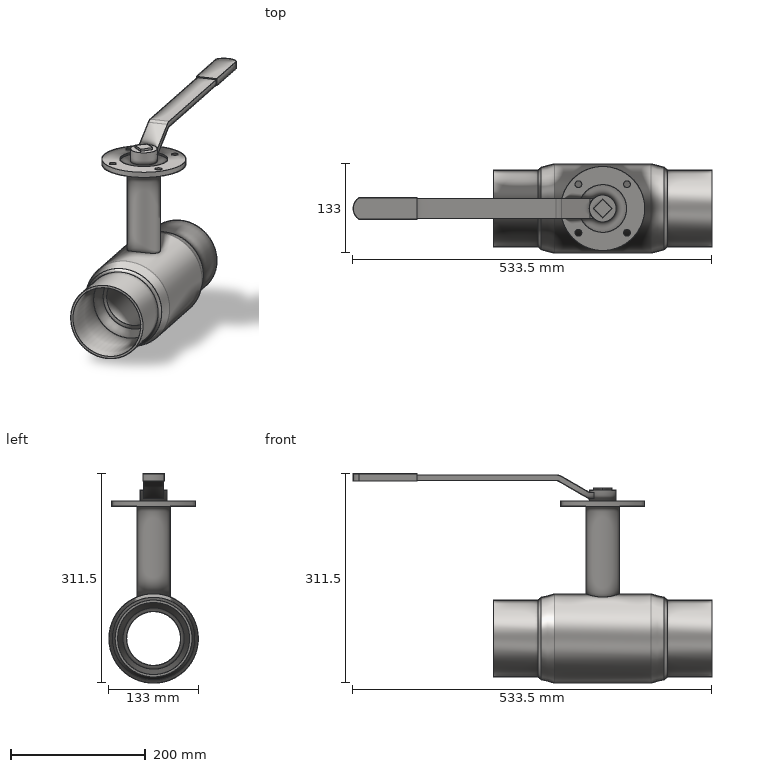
import cadquery as cq
import math

body_length = 325.0
body_diameter = 133.0
pipe_outer_diameter = 114.3
pipe_inner_diameter = 107.1
shoulder_end_diameter = 122.5
ball_bore_diameter = 80.0
seat_opening_diameter = 91.0
barrel_half_length = 71.5
shoulder_half_length = 91.5
pipe_root_half_length = 96.0
taper_half_length = 71.5
seat_half_length = 52.0

stem_diameter = 50.0
flange_diameter = 125.0
flange_thickness = 8.0
flange_top = 204.5
recess_diameter = 71.0
recess_depth = 3.0
bolt_hole_diameter = 10.0
bolt_circle_diameter = 102.0
bolt_count = 4

hub_diameter = 40.0
hub_top = 220.7
square_side = 19.5
square_top = 223.9

lever_end = -371.0
lever_width = 30.0
lever_thickness = 8.5
lever_root_bottom = 208.3
lever_angle = 30.0
lever_bend_x = -65.0
bend_inner_radius = 8.0
grip_top = 245.0
grip_length = 95.0
grip_thickness = 11.0
grip_top_wall = 1.75
grip_side_wall = 1.0
grip_end_radius = 19.0


def cylinder(diameter, bottom, top):
    """Upright cylinder on the stem axis."""
    return cq.Workplane("XY").workplane(offset=bottom).circle(diameter / 2).extrude(top - bottom)


def make_body():
    """Body shell with welded pipe ends, revolved about X without its bore."""
    half_profile = [
        (body_length / 2, pipe_outer_diameter / 2),
        (pipe_root_half_length, pipe_outer_diameter / 2),
        (shoulder_half_length, shoulder_end_diameter / 2),
        (barrel_half_length, body_diameter / 2),
    ]
    return revolve_symmetric(half_profile)


def make_bore():
    """Flow passage: pipe bores, tapering to the seat faces, and the ball bore."""
    half_profile = [
        (body_length / 2, pipe_inner_diameter / 2),
        (taper_half_length, pipe_inner_diameter / 2),
        (seat_half_length, seat_opening_diameter / 2),
        (seat_half_length, ball_bore_diameter / 2),
    ]
    return revolve_symmetric(half_profile)


def revolve_symmetric(half_profile):
    """Revolve a profile about X; half_profile runs from the +X end towards the middle."""
    mirrored = [(-x, radius) for x, radius in reversed(half_profile)]
    end_x = half_profile[0][0]
    outline = [(end_x, 0)] + half_profile + mirrored + [(-end_x, 0)]
    return cq.Workplane("XY").polyline(outline).close().revolve(360, (0, 0, 0), (1, 0, 0))


def make_flange():
    """Round mounting flange with a spigot recess and four bolt holes."""
    flange = cylinder(flange_diameter, flange_top - flange_thickness, flange_top)
    flange = flange.cut(cylinder(recess_diameter, flange_top - recess_depth, flange_top))
    holes = (
        cq.Workplane("XY")
        .workplane(offset=flange_top - flange_thickness)
        .polarArray(bolt_circle_diameter / 2, 360 / bolt_count / 2, 360, bolt_count)
        .circle(bolt_hole_diameter / 2)
        .extrude(flange_thickness)
    )
    return flange.cut(holes)


def make_hub():
    """Lever hub with the spindle square standing out of it, corners on X and Y."""
    hub = cylinder(hub_diameter, flange_top - recess_depth, hub_top)
    square = (
        cq.Workplane("XY")
        .workplane(offset=hub_top)
        .transformed(rotate=(0, 0, 45))
        .rect(square_side, square_side)
        .extrude(square_top - hub_top)
    )
    return hub.union(square)


def make_lever():
    """Flat bar cranked up from the hub, then running level to the grip."""
    slope = math.tan(math.radians(lever_angle))
    corner_shift = lever_thickness * math.tan(math.radians(lever_angle / 2))
    upper_z = grip_top - grip_top_wall
    lower_z = upper_z - lever_thickness
    root_top = lever_root_bottom + lever_thickness
    root_bend_x = lever_bend_x + (upper_z - root_top) / slope
    bar_start = lever_end + grip_length / 2
    outline = [
        (bar_start, upper_z),
        (lever_bend_x, upper_z),
        (root_bend_x, root_top),
        (0, root_top),
        (0, lever_root_bottom),
        (root_bend_x - corner_shift, lever_root_bottom),
        (lever_bend_x - corner_shift, lower_z),
        (bar_start, lower_z),
    ]
    bar = cq.Workplane("XZ").polyline(outline).close().extrude(lever_width / 2, both=True)
    outer_corner = cq.selectors.NearestToPointSelector((lever_bend_x, 0, upper_z))
    inner_corner = cq.selectors.NearestToPointSelector((lever_bend_x - corner_shift, 0, lower_z))
    bar = bar.edges(outer_corner).fillet(bend_inner_radius + lever_thickness)
    return bar.edges(inner_corner).fillet(bend_inner_radius)


def make_grip():
    """Sleeve around the lever end, closed by one arc across its full width."""
    half_width = lever_width / 2 + grip_side_wall
    arc_height = grip_end_radius - math.sqrt(grip_end_radius**2 - half_width**2)
    return (
        cq.Workplane("XY")
        .workplane(offset=grip_top - grip_thickness)
        .moveTo(lever_end + grip_length, -half_width)
        .lineTo(lever_end + grip_length, half_width)
        .lineTo(lever_end + arc_height, half_width)
        .threePointArc((lever_end, 0), (lever_end + arc_height, -half_width))
        .close()
        .extrude(grip_thickness)
    )


stem = cylinder(stem_diameter, 0, flange_top - flange_thickness)
valve = make_body().union(stem).cut(make_bore())
operator = make_flange().union(make_hub()).union(make_lever()).union(make_grip())
result = valve.union(operator)